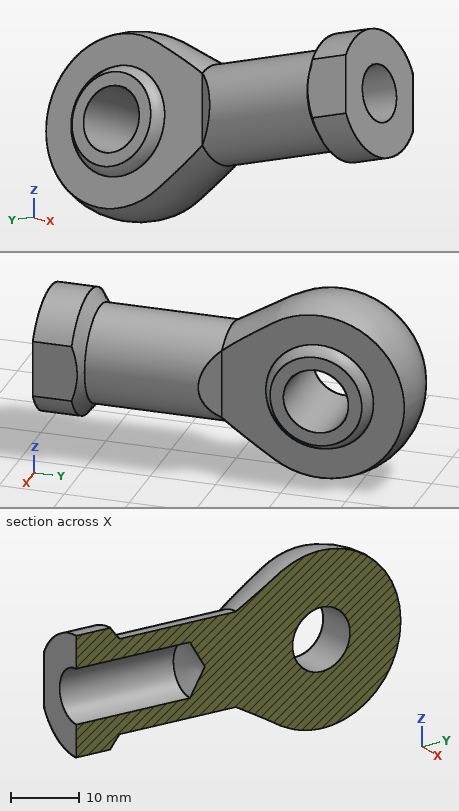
import cadquery as cq
import math


overall_length = 57.0
eye_diameter = 28.0
eye_thickness = 10.5
neck_half_angle = 30.0
shank_diameter = 15.0
shoulder_length = 2.9

collar_diameter = 19.1
collar_length = 6.0
collar_taper_length = 1.65
across_flats = 17.0

socket_diameter = 8.65
socket_depth = 19.95
drill_point_angle = 118.0

ball_width = 14.1
ball_face_diameter = 14.1
ball_rim_diameter = 16.55
ball_edge_bulge = 0.15
ball_bore = 10.0

eye_radius = eye_diameter / 2
shank_radius = shank_diameter / 2
collar_radius = collar_diameter / 2
socket_radius = socket_diameter / 2
half_thickness = eye_thickness / 2
end_y = eye_radius - overall_length

neck_angle = math.radians(neck_half_angle)
tangent_y = -eye_radius * math.sin(neck_angle)
tangent_radius = eye_radius * math.cos(neck_angle)
neck_end_y = tangent_y - (tangent_radius - shank_radius) / math.tan(neck_angle)


def revolve_about_y(profile):
    return profile.close().revolve(360, (0, 0, 0), (0, 1, 0))


def make_body():
    """Spherical eye, neck, shank and collar as one turned shape."""
    collar_top_y = end_y + collar_length
    middle_angle = (math.pi / 2 - neck_angle) / 2
    arc_middle = (eye_radius * math.cos(middle_angle), eye_radius * math.sin(middle_angle))
    return revolve_about_y(
        cq.Workplane("XY")
        .moveTo(0, end_y)
        .lineTo(collar_radius, end_y)
        .lineTo(collar_radius, collar_top_y)
        .lineTo(shank_radius, collar_top_y + collar_taper_length)
        .lineTo(shank_radius, neck_end_y)
        .lineTo(tangent_radius, tangent_y)
        .threePointArc(arc_middle, (0, eye_radius))
    )


def make_side_envelope():
    """Plan outline that flattens the eye, slopes the shoulders and cuts the wrench flats."""
    half_flats = across_flats / 2
    slope = (shank_radius - half_thickness) / shoulder_length
    shoulder_y = neck_end_y - (half_flats - half_thickness) / slope
    right_side = [
        (half_flats, end_y),
        (half_flats, shoulder_y),
        (half_thickness, neck_end_y),
        (half_thickness, eye_radius),
    ]
    left_side = [(-x, y) for x, y in reversed(right_side)]
    return (
        cq.Workplane("XY")
        .polyline(right_side + left_side)
        .close()
        .extrude(eye_radius, both=True)
    )


def make_socket():
    """Blind drilled hole with a conical bottom."""
    bottom_y = end_y + socket_depth
    point_length = socket_radius / math.tan(math.radians(drill_point_angle / 2))
    return revolve_about_y(
        cq.Workplane("XY")
        .moveTo(0, end_y)
        .lineTo(socket_radius, end_y)
        .lineTo(socket_radius, bottom_y)
        .lineTo(0, bottom_y + point_length)
    )


def make_ball():
    """Ball insert with convex rounded edges beyond the sides of the eye."""
    half_width = ball_width / 2
    face_radius = ball_face_diameter / 2
    rim_radius = ball_rim_diameter / 2
    return (
        cq.Workplane("XY")
        .moveTo(-half_width, 0)
        .lineTo(-half_width, face_radius)
        .sagittaArc((-half_thickness, rim_radius), ball_edge_bulge)
        .lineTo(half_thickness, rim_radius)
        .sagittaArc((half_width, face_radius), ball_edge_bulge)
        .lineTo(half_width, 0)
        .close()
        .revolve(360, (0, 0, 0), (1, 0, 0))
    )


def make_bore():
    return cq.Workplane("YZ").circle(ball_bore / 2).extrude(ball_width, both=True)


body = make_body().intersect(make_side_envelope())
result = body.cut(make_socket()).union(make_ball()).cut(make_bore())